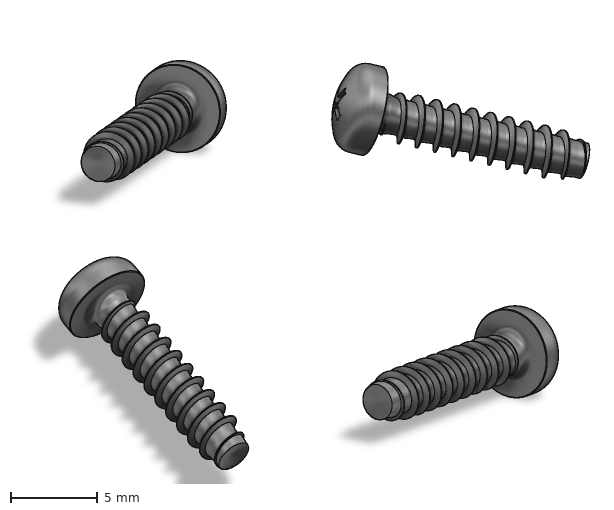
import cadquery as cq
import math


total_length = 15.29
head_height = 2.29
head_diameter = 5.3
head_radius = head_diameter / 2
head_rim_height = 0.82
shoulder_radius = 1.04
rim_chamfer = 0.05

recess_width = 0.47
recess_radius = 1.15
recess_floor = 1.07

neck_radius = 1.19
neck_fillet = 0.5
neck_length = 0.73
neck_cone_length = 0.45
core_radius = 1.05
tip_hollow_radius = 0.98
tip_hollow_depth = 0.15

thread_radius = 1.51
thread_length = 12.87
thread_turns = 11.5
fade_turns = 1.5
fade_depth = 0.46
thread_start = 0.1
thread_start_angle = 90.0
crest_width = 0.06
crest_flank_length = 0.08
crest_flank_height = 0.25
root_flank_length = 0.15
tip_flank_length = 0.17
bury_depth = 0.08

swell_height = 0.09
swell_length = 0.81
swell_end_sink = 0.02
swell_turns = 11.0
swell_fade_turns = 0.25

shank_length = total_length - head_height
pitch = thread_length / thread_turns
half_crest = crest_width / 2
buried_radius = core_radius - bury_depth

tooth_section = [
    (-half_crest - crest_flank_length - root_flank_length, buried_radius),
    (-half_crest - crest_flank_length, thread_radius - crest_flank_height),
    (-half_crest, thread_radius),
    (half_crest, thread_radius),
    (half_crest + tip_flank_length, buried_radius),
]
swell_section = [
    (0, buried_radius),
    (0, core_radius + swell_height),
    (swell_length, core_radius - swell_end_sink),
    (swell_length, buried_radius),
]


def make_head():
    """Domed head: a sphere cap blending tangentially into a rounded shoulder and a straight rim."""
    ring_radius = head_radius - shoulder_radius
    rise = head_height - head_rim_height
    dome_radius = (ring_radius**2 + rise**2 - shoulder_radius**2) / (2 * (rise - shoulder_radius))
    dome_center_y = head_height - dome_radius
    blend_angle = math.asin(ring_radius / (dome_radius - shoulder_radius))

    def dome_point(angle):
        return (dome_radius * math.sin(angle), dome_center_y + dome_radius * math.cos(angle))

    shoulder_angle = (blend_angle + math.pi / 2) / 2
    shoulder_middle = (
        ring_radius + shoulder_radius * math.sin(shoulder_angle),
        head_rim_height + shoulder_radius * math.cos(shoulder_angle),
    )
    return (
        cq.Workplane("XY")
        .lineTo(head_radius - rim_chamfer, 0)
        .lineTo(head_radius, rim_chamfer)
        .lineTo(head_radius, head_rim_height)
        .threePointArc(shoulder_middle, dome_point(blend_angle))
        .threePointArc(dome_point(blend_angle / 2), (0, head_height))
        .close()
        .revolve(360, (0, 0), (0, 1))
    )


def make_shank():
    """Filleted neck, short cone and cylindrical core."""
    fillet_outer = neck_radius + neck_fillet
    diagonal = neck_fillet * math.sqrt(0.5)
    overlap = head_rim_height / 2
    return (
        cq.Workplane("XY")
        .moveTo(0, overlap)
        .lineTo(fillet_outer, overlap)
        .lineTo(fillet_outer, 0)
        .threePointArc((fillet_outer - diagonal, diagonal - neck_fillet), (neck_radius, -neck_fillet))
        .lineTo(neck_radius, -neck_length)
        .lineTo(core_radius, -neck_length - neck_cone_length)
        .lineTo(core_radius, -shank_length)
        .lineTo(0, -shank_length)
        .close()
        .revolve(360, (0, 0), (0, 1))
    )


def helix_edge(start_turn, turns, offset, start_radius, growth):
    """Helix along +Z whose radius grows linearly by `growth` in all."""
    height = turns * pitch
    cone_angle = math.atan2(growth, height)
    slope = 1 / math.cos(cone_angle)
    if growth:
        wire = cq.Wire.makeHelix(
            pitch * slope, height * slope, start_radius, angle=math.degrees(cone_angle)
        )
    else:
        wire = cq.Wire.makeHelix(pitch, height, start_radius)
    edge = wire.Edges()[0]
    edge = edge.rotate(cq.Vector(), cq.Vector(0, 0, 1), thread_start_angle + 360 * start_turn)
    return edge.translate(cq.Vector(0, 0, thread_start + pitch * start_turn + offset))


def helical_body(section, start_turn, turns, start_sink=0.0, end_sink=0.0):
    """Section swept along the thread and sunk radially by the given amounts at its two ends."""
    edges = [
        helix_edge(start_turn, turns, offset, radius - start_sink, start_sink - end_sink)
        for offset, radius in section
    ]
    faces = [
        cq.Face.makeRuledSurface(edge, following)
        for edge, following in zip(edges, edges[1:] + edges[:1])
    ]
    for corners in ([e.startPoint() for e in edges], [e.endPoint() for e in edges]):
        faces.append(cq.Face.makeFromWires(cq.Wire.makePolygon(corners, close=True)))
    solid = cq.Solid.makeSolid(cq.Shell.makeShell(faces))
    return cq.Workplane(solid.rotate(cq.Vector(), cq.Vector(1, 0, 0), 90))


def make_recess():
    """Cross-shaped recess cut from the top of the dome."""
    height = head_height - recess_floor
    wing = cq.Workplane("XY").box(2 * recess_radius, height, recess_width)
    cross = wing.union(wing.rotate((0, 0, 0), (0, 1, 0), 90))
    return cross.translate((0, recess_floor + height / 2, 0))


def make_thread():
    """Tooth that rises out of the neck, runs full and fades towards the tip, over the swelling core."""
    fade_out_start = thread_turns - fade_turns
    return [
        helical_body(swell_section, 0, swell_turns),
        helical_body(swell_section, swell_turns, swell_fade_turns, end_sink=swell_height),
        helical_body(tooth_section, fade_turns, fade_out_start - fade_turns),
        helical_body(tooth_section, 0, fade_turns, start_sink=fade_depth),
        helical_body(tooth_section, fade_out_start, fade_turns, end_sink=fade_depth),
    ]


def make_tip_cut():
    """Everything beyond the tip, with a shallow cone that hollows the end of the core."""
    cut_radius = 2 * thread_radius
    return (
        cq.Workplane("XY")
        .moveTo(0, tip_hollow_depth - shank_length)
        .lineTo(tip_hollow_radius, -shank_length)
        .lineTo(cut_radius, -shank_length)
        .lineTo(cut_radius, -shank_length - pitch)
        .lineTo(0, -shank_length - pitch)
        .close()
        .revolve(360, (0, 0), (0, 1))
    )


screw = make_head().union(make_shank())
for body in make_thread():
    screw = screw.union(body)
result = screw.cut(make_tip_cut()).cut(make_recess())